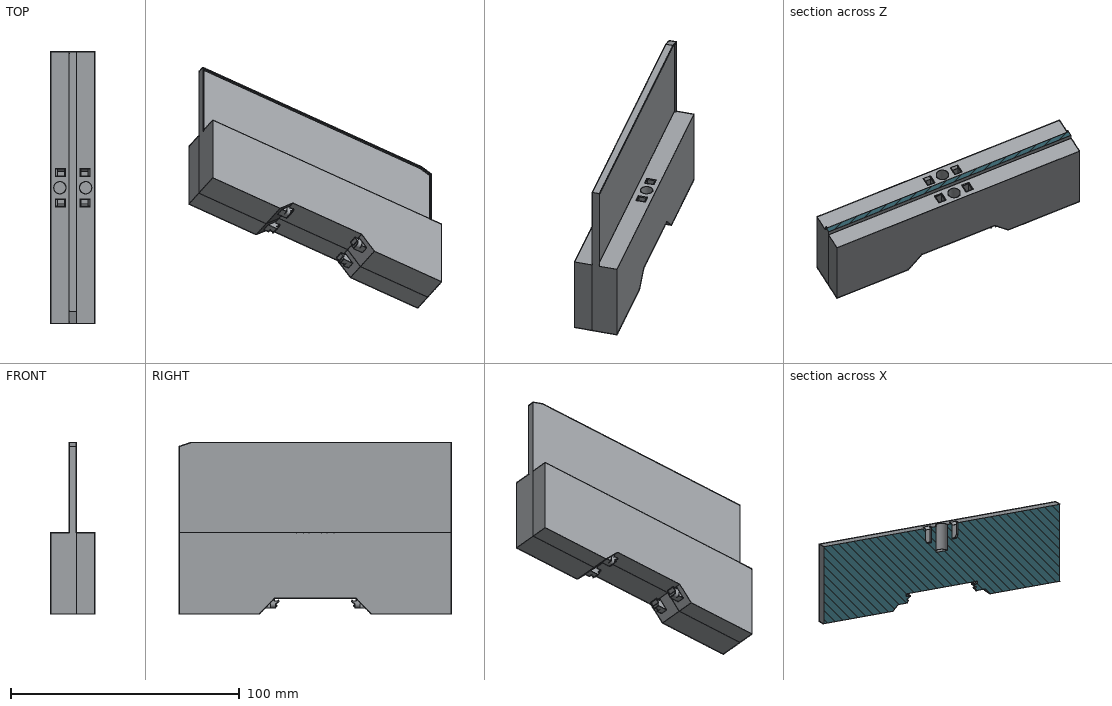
import cadquery as cq
import math

LENGTH = 118.9
WIDTH = 19.4
HOUSING_HEIGHT = 35.7
TOTAL_HEIGHT = 75.1
PLATE_THICKNESS = 3.2
OVERLAP = 0.2

HALF_LENGTH = LENGTH / 2
HALF_WIDTH = WIDTH / 2
PARTING_X = PLATE_THICKNESS / 2

CORNER_RUN = 5.4
CORNER_DROP = 1.8
RIM = 0.7
PANEL_DEPTH = 0.7

NOTCH_HEIGHT = 6.9
NOTCH_HALF_TOP = 17.8
NOTCH_HALF_BOTTOM = 24.5

HOLE_DIAMETER = 5.4
HOLE_DEPTH = 11.9
WINDOW_INSET = 4.3
WINDOW_OFFSET = 6.7
WINDOW_SIZE_X = 4.3
WINDOW_SIZE_Y = 3.6
WINDOW_BEVEL = 0.4
LIP_SLOPE_RUN = 0.5
LIP_SLOPE_DEPTH = 0.8
WINDOW_DEPTH = 7.1
RAMP_RUN = 0.89
RAMP_RISE = 1.5

CLIP_WIDTH = 3.6
HOOK_TIP_Y = 15.8
HOOK_TOP = 5.8
HOOK_BEAD = 0.4
FOOT_INNER_Y = 17.4
FOOT_TOP = 4.4
FOOT_BOTTOM = 2.6
FOOT_TOOTH = 0.7
ROUND_LENGTH = 2.1

BLOCK_WIDTH = HALF_WIDTH - PARTING_X
BLOCK_CENTRE_X = HALF_WIDTH - BLOCK_WIDTH / 2


def housing_block(x_start, x_end):
    """Long block with a trapezoidal rail notch across its underside."""
    outline = [
        (-HALF_LENGTH, 0),
        (-NOTCH_HALF_BOTTOM, 0),
        (-NOTCH_HALF_TOP, NOTCH_HEIGHT),
        (NOTCH_HALF_TOP, NOTCH_HEIGHT),
        (NOTCH_HALF_BOTTOM, 0),
        (HALF_LENGTH, 0),
        (HALF_LENGTH, HOUSING_HEIGHT),
        (-HALF_LENGTH, HOUSING_HEIGHT),
    ]
    return cq.Workplane("YZ", origin=(x_start, 0, 0)).polyline(outline).close().extrude(x_end - x_start)


def round_hole(side):
    plane = cq.Workplane("XY", origin=(side * BLOCK_CENTRE_X, 0, HOUSING_HEIGHT))
    return plane.circle(HOLE_DIAMETER / 2).extrude(-HOLE_DEPTH)


def window(side, end):
    """Bevelled opening with a sloped outer lip above a deep shaft that ends in a ramp."""
    x = side * (HALF_WIDTH - WINDOW_INSET)
    y = end * WINDOW_OFFSET
    throat_x = WINDOW_SIZE_X - 2 * WINDOW_BEVEL
    throat_y = WINDOW_SIZE_Y - 2 * WINDOW_BEVEL
    shaft_width = throat_x - LIP_SLOPE_RUN
    shaft_x = x - side * LIP_SLOPE_RUN / 2
    bevel = (
        cq.Workplane("XY", origin=(x, y, HOUSING_HEIGHT))
        .rect(WINDOW_SIZE_X, WINDOW_SIZE_Y)
        .workplane(offset=-WINDOW_BEVEL)
        .rect(throat_x, throat_y)
        .loft(ruled=True)
    )
    lip = (
        cq.Workplane("XY", origin=(x, y, HOUSING_HEIGHT - WINDOW_BEVEL))
        .rect(throat_x, throat_y)
        .workplane(offset=-LIP_SLOPE_DEPTH)
        .center(-side * LIP_SLOPE_RUN / 2, 0)
        .rect(shaft_width, throat_y)
        .loft(ruled=True)
    )
    top = HOUSING_HEIGHT - WINDOW_BEVEL - LIP_SLOPE_DEPTH
    floor = HOUSING_HEIGHT - WINDOW_DEPTH
    inner_y = y - end * throat_y / 2
    outer_y = y + end * throat_y / 2
    shaft_outline = [
        (inner_y, top),
        (inner_y, floor),
        (outer_y - end * RAMP_RUN, floor),
        (outer_y, floor + RAMP_RISE),
        (outer_y, top),
    ]
    shaft = (
        cq.Workplane("YZ", origin=(shaft_x, 0, 0))
        .polyline(shaft_outline)
        .close()
        .extrude(shaft_width / 2, both=True)
    )
    return bevel.union(lip).union(shaft)


def rail_clip(side, end):
    """Hooked clip standing out of one sloped flank of the rail notch."""
    flank_slope = (NOTCH_HALF_BOTTOM - NOTCH_HALF_TOP) / NOTCH_HEIGHT
    flank_foot_y = NOTCH_HALF_BOTTOM - flank_slope * FOOT_BOTTOM
    bead_y = HOOK_TIP_Y + HOOK_BEAD
    outline = [
        (flank_foot_y + OVERLAP, FOOT_BOTTOM),
        (NOTCH_HALF_TOP + OVERLAP, NOTCH_HEIGHT),
        (NOTCH_HALF_TOP, NOTCH_HEIGHT),
        (NOTCH_HALF_TOP, HOOK_TOP),
        (bead_y + HOOK_BEAD, HOOK_TOP),
        (bead_y, HOOK_TOP + HOOK_BEAD),
        (HOOK_TIP_Y, HOOK_TOP),
        (HOOK_TIP_Y, HOOK_TOP - HOOK_BEAD),
        (FOOT_INNER_Y, FOOT_TOP),
        (FOOT_INNER_Y - FOOT_TOOTH, FOOT_TOP - FOOT_TOOTH),
        (FOOT_INNER_Y, FOOT_TOP - 2 * FOOT_TOOTH),
        (FOOT_INNER_Y, FOOT_BOTTOM),
    ]
    clip = (
        cq.Workplane("YZ", origin=(side * BLOCK_CENTRE_X, 0, 0))
        .polyline([(end * y, z) for y, z in outline])
        .close()
        .extrude(CLIP_WIDTH / 2, both=True)
    )
    return clip.cut(foot_round(side, end))


def foot_round(side, end):
    """Waste outside the quarter round along the lower outer edge of a clip foot."""
    radius = FOOT_TOP - FOOT_BOTTOM
    outer_x = side * (BLOCK_CENTRE_X + CLIP_WIDTH / 2)
    axis_x = outer_x - side * radius
    arc_reach = radius * math.sqrt(0.5)
    return (
        cq.Workplane("XZ", origin=(0, end * (FOOT_INNER_Y + ROUND_LENGTH / 2), 0))
        .moveTo(outer_x, FOOT_TOP)
        .threePointArc((axis_x + side * arc_reach, FOOT_TOP - arc_reach), (axis_x, FOOT_BOTTOM))
        .lineTo(outer_x, FOOT_BOTTOM)
        .close()
        .extrude(ROUND_LENGTH / 2, both=True)
    )


def detail_housing(body, side):
    body = body.cut(round_hole(side))
    for end in (-1, 1):
        body = body.cut(window(side, end))
        body = body.union(rail_clip(side, end))
    return body


def plate():
    """Upright plate with one sloped corner and a shallow recessed panel on its outer face."""
    outline = [
        (-HALF_LENGTH, HOUSING_HEIGHT - OVERLAP),
        (HALF_LENGTH, HOUSING_HEIGHT - OVERLAP),
        (HALF_LENGTH, TOTAL_HEIGHT),
        (-HALF_LENGTH + CORNER_RUN, TOTAL_HEIGHT),
        (-HALF_LENGTH, TOTAL_HEIGHT - CORNER_DROP),
    ]
    sheet = cq.Workplane("YZ", origin=(-PARTING_X, 0, 0)).polyline(outline).close().extrude(PLATE_THICKNESS)
    panel = (
        cq.Workplane("YZ", origin=(-PARTING_X, 0, 0))
        .polyline(outline)
        .close()
        .offset2D(-RIM, "intersection")
        .extrude(PANEL_DEPTH)
    )
    foot_of_panel = (
        cq.Workplane("XY", origin=(-PARTING_X, 0, HOUSING_HEIGHT))
        .rect(2 * PANEL_DEPTH, LENGTH - 2 * RIM)
        .extrude(2 * RIM)
    )
    return sheet.cut(panel).cut(foot_of_panel)


plate_module = detail_housing(housing_block(-HALF_WIDTH, PARTING_X).union(plate()), -1)
plain_module = detail_housing(housing_block(PARTING_X, HALF_WIDTH), 1)

result = cq.Compound.makeCompound([plate_module.val(), plain_module.val()])